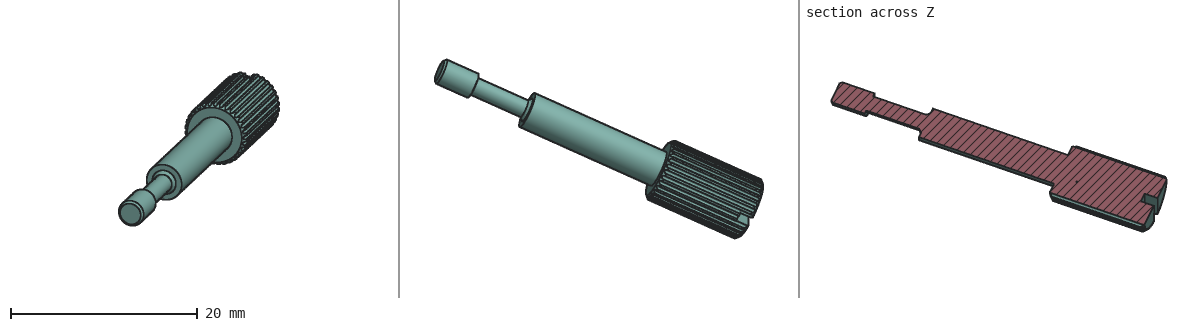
import cadquery as cq


total_length = 37.11

head_length = 11.0
head_diameter = 6.96
head_chamfer = 0.38
groove_count = 32
groove_radius = 0.2
groove_depth = 0.25

slot_width = 1.0
slot_depth = 1.5

shank_length = 15.65
shank_diameter = 4.0
neck_diameter = 2.0
neck_flare = 0.35
tip_length = 4.0
tip_diameter = 2.85
tip_chamfer = 0.25

head_radius = head_diameter / 2
shank_radius = shank_diameter / 2
neck_radius = neck_diameter / 2
tip_radius = tip_diameter / 2
shank_end = -shank_length
tip_end = head_length - total_length
tip_start = tip_end + tip_length


def make_turned_body():
    """Head, shank, neck and tip as one half-profile revolved about Y."""
    profile = (
        cq.Workplane("XY")
        .moveTo(0, head_length)
        .lineTo(head_radius - head_chamfer, head_length)
        .lineTo(head_radius, head_length - head_chamfer)
        .lineTo(head_radius, head_chamfer)
        .lineTo(head_radius - head_chamfer, 0)
        .lineTo(shank_radius, 0)
        .lineTo(shank_radius, shank_end)
        .lineTo(neck_radius + neck_flare, shank_end)
        .lineTo(neck_radius, shank_end - neck_flare)
        .lineTo(neck_radius, tip_start)
        .lineTo(tip_radius, tip_start)
        .lineTo(tip_radius, tip_end + tip_chamfer)
        .lineTo(tip_radius - tip_chamfer, tip_end)
        .lineTo(0, tip_end)
        .close()
    )
    return profile.revolve(360, (0, 0, 0), (0, 1, 0))


def make_grooves():
    """Straight round-bottomed knurl grooves running the whole length of the head."""
    cutter = (
        cq.Workplane("XZ", origin=(0, head_length, 0))
        .center(0, head_radius - groove_depth + groove_radius)
        .circle(groove_radius)
        .extrude(head_length)
    )
    grooves = cq.Workplane("XY")
    for index in range(groove_count):
        angle = index * 360 / groove_count
        grooves = grooves.add(cutter.rotate((0, 0, 0), (0, 1, 0), angle))
    return grooves.combine()


def make_slot():
    """Screwdriver slot across the end of the head, along Z."""
    slot = cq.Workplane("XY").box(slot_width, slot_depth, head_diameter)
    return slot.translate((0, head_length - slot_depth / 2, 0))


result = make_turned_body().cut(make_grooves()).cut(make_slot())